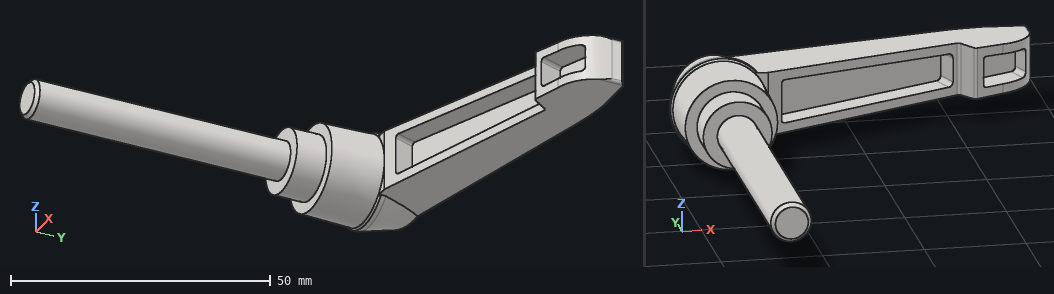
import cadquery as cq
import math


stud_radius = 8.0 / 2
stud_bottom = -55.0
stud_top = 28.6
stud_chamfer = 0.8
collar_radius = 13.5 / 2

sleeve_bottom = 6.4
sleeve_top = 17.6
sleeve_bottom_radius = 9.1
sleeve_top_radius = 9.4
rim_radius = 9.75
rim_chamfer = 0.4
rim_top = 18.9
cone_slope = math.tan(math.radians(15))
hub_blank_top = 30.9

top_slope = math.tan(math.radians(15))
top_height_at_axis = 27.2
lever_top = 41.5
lever_tip = 65.0
crown_start = 47.3
crown_end = 56.0
tip_chamfer = 0.7
tip_flat_bottom = 38.6
nose_start = (58.0, 30.4)
nose_middle = (62.95, 33.5)
hook_corner = (52.2, 28.4)
notch_corner = (49.7, 32.1)
underside_start = (9.4, sleeve_top)
hook_fillet = 0.6
axis_half_width = 6.8
tip_half_width = 4.8
tip_edge_fillet = 0.6

pocket_wall = 1.98
pocket_near_fillet = 0.7
pocket_far_fillet = 1.0
grip_pocket_start = 12.3
grip_pocket_end = 48.5
grip_pocket_depth = 4.6
tip_pocket_start = 54.0
tip_pocket_end = 63.3
tip_pocket_depth = 5.3

side_slope = (axis_half_width - tip_half_width) / lever_tip
underside_slope = (notch_corner[1] - underside_start[1]) / (notch_corner[0] - underside_start[0])
underside_angle = math.atan(underside_slope)


def top_height(x):
    """Height of the sloping top face of hub and lever."""
    return top_height_at_axis + top_slope * x


def half_width(x):
    """Half the lever width, which tapers towards the tip."""
    return axis_half_width - side_slope * x


def make_stud():
    length = stud_top - stud_bottom
    stud = cq.Workplane("XZ", origin=(0, stud_top, 0)).circle(stud_radius).extrude(length)
    return stud.faces("<Y or >Y").chamfer(stud_chamfer)


def make_hub():
    """Collar, tapered sleeve, rim and cone, cut off by the sloping top face."""
    cone_top_radius = rim_radius - cone_slope * (hub_blank_top - rim_top)
    blank = (
        cq.Workplane("XY")
        .moveTo(0, 0)
        .lineTo(collar_radius, 0)
        .lineTo(collar_radius, sleeve_bottom)
        .lineTo(sleeve_bottom_radius, sleeve_bottom)
        .lineTo(sleeve_top_radius, sleeve_top)
        .lineTo(rim_radius, sleeve_top + rim_chamfer)
        .lineTo(rim_radius, rim_top)
        .lineTo(cone_top_radius, hub_blank_top)
        .lineTo(0, hub_blank_top)
        .close()
        .revolve(360, (0, 0, 0), (0, 1, 0))
    )
    reach = 2 * rim_radius
    above_top = (
        cq.Workplane("XY")
        .polyline([
            (-reach, top_height(-reach)),
            (reach, top_height(reach)),
            (-reach, top_height(reach)),
        ])
        .close()
        .extrude(reach, both=True)
    )
    return blank.cut(above_top)


def make_lever():
    """Hooked side profile, narrowed by a tapered plan with a rounded tip."""
    profile = (
        cq.Workplane("XY")
        .moveTo(0, top_height(0))
        .lineTo(crown_start, top_height(crown_start))
        .tangentArcPoint((crown_end, lever_top), relative=False)
        .lineTo(lever_tip - tip_chamfer, lever_top)
        .lineTo(lever_tip, lever_top - tip_chamfer)
        .lineTo(lever_tip, tip_flat_bottom)
        .threePointArc(nose_middle, nose_start)
        .lineTo(*hook_corner)
        .lineTo(*notch_corner)
        .lineTo(*underside_start)
        .lineTo(0, sleeve_top)
        .close()
        .extrude(axis_half_width, both=True)
    )
    for corner in (hook_corner, notch_corner):
        profile = profile.edges(cq.selectors.NearestToPointSelector((*corner, 0))).fillet(hook_fillet)
    plan = (
        cq.Workplane("XZ")
        .polyline([
            (0, -half_width(0)),
            (lever_tip, -half_width(lever_tip)),
            (lever_tip, half_width(lever_tip)),
            (0, half_width(0)),
        ])
        .close()
        .extrude(-lever_top)
        .edges("|Y and >X")
        .fillet(tip_edge_fillet)
    )
    return profile.intersect(plan)


def make_pocket(start, end, base_point, depth):
    """Tapered pocket square to the underside; its floor lies depth above base_point.

    The cutter reaches equally far below the underside so that it opens cleanly.
    """
    length_direction = (math.cos(underside_angle), math.sin(underside_angle), 0)
    inward = (-math.sin(underside_angle), math.cos(underside_angle), 0)
    plane = cq.Plane(origin=(*base_point, 0), xDir=length_direction, normal=inward)

    def along(x, y):
        return (x - base_point[0]) * length_direction[0] + (y - base_point[1]) * length_direction[1]

    near = along(*start)
    far = along(*end)
    near_half = half_width(start[0]) - pocket_wall
    far_half = half_width(end[0]) - pocket_wall
    near_middle = plane.toWorldCoords((near, 0, 0))
    far_middle = plane.toWorldCoords((far, 0, 0))
    near_corners = [near_middle + cq.Vector(0, 0, side * near_half) for side in (-1, 1)]
    far_corners = [far_middle + cq.Vector(0, 0, side * far_half) for side in (-1, 1)]
    cutter = (
        cq.Workplane(plane)
        .polyline([(near, -near_half), (far, -far_half), (far, far_half), (near, near_half)])
        .close()
        .extrude(depth, both=True)
    )
    for corners, radius in ((near_corners, pocket_near_fillet), (far_corners, pocket_far_fillet)):
        for corner in corners:
            nearest = cq.selectors.NearestToPointSelector(corner.toTuple())
            cutter = cutter.edges(nearest).fillet(radius)
    return cutter


def underside_point(x, base_point):
    """Point at x on the line through base_point parallel to the underside."""
    return (x, base_point[1] + underside_slope * (x - base_point[0]))


grip_pocket = make_pocket(
    underside_point(grip_pocket_start, underside_start),
    underside_point(grip_pocket_end, underside_start),
    underside_start,
    grip_pocket_depth,
)
tip_pocket = make_pocket(
    underside_point(tip_pocket_start, hook_corner),
    (tip_pocket_end, nose_middle[1]),
    hook_corner,
    tip_pocket_depth,
)

lever = make_lever().cut(grip_pocket).cut(tip_pocket)
result = make_hub().union(lever).union(make_stud())